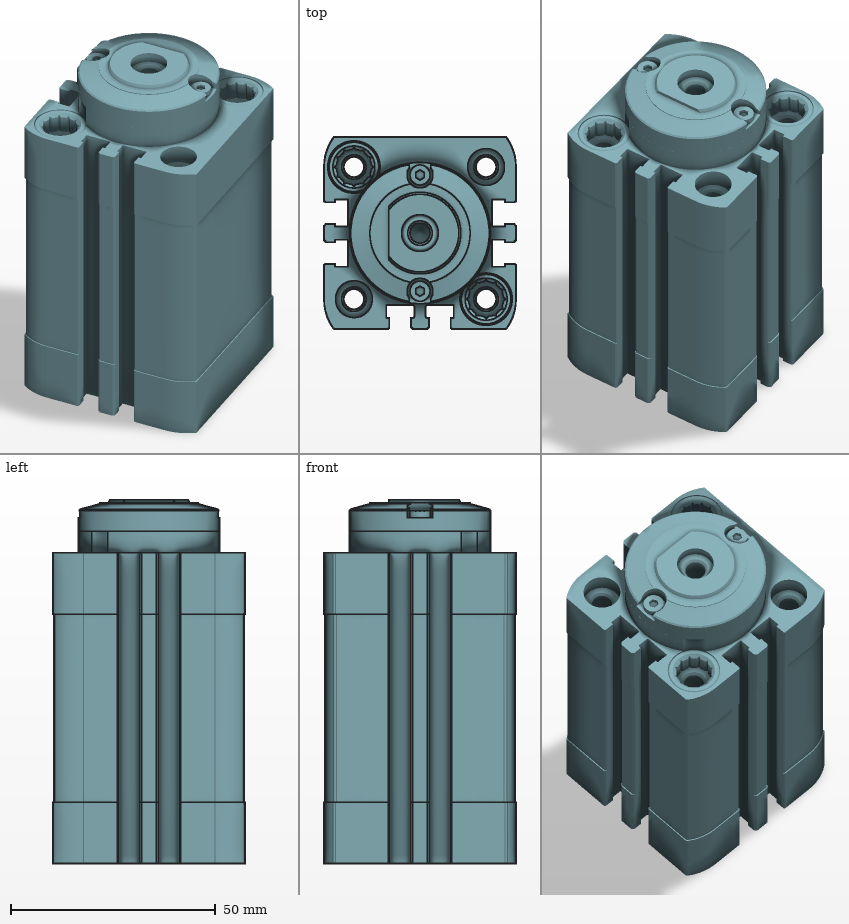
import cadquery as cq
import math

side = 47.0
half = side / 2
body_height = 76.0
end_height = 15.0
tube_inset = 0.25
corner_radius = 12.5
corner_arc_y = 16.1
corner_edge_fillet = 0.8

slot_floor = 17.6
lip_depth = 2.75
slot_outer = 8.2
lip_outer = 7.5
rib_flange = 2.25
side_rib_stem = 1.65
front_rib_stem = 1.4
lip_chamfer = 0.3
rib_chamfer = 0.5
pick_margin = 0.1
rib_root_fillet = 0.4

hole_pitch = 16.15
through_dia = 4.92
entry_dia = 6.0
counterbore_dia = 9.0
counterbore_depth = 4.5
hole_bevel = (entry_dia - through_dia) / 2
ring_dia = 12.8
ring_groove = 0.35
socket_entry_dia = 10.3
socket_inner_dia = 8.57
socket_tip_dia = 9.5
socket_depth = 5.0

cap_dia = 34.55
cap_base = 81.3
cap_rim = 86.65
cap_top = 88.15
cap_flat_dia = 24.5
cap_flat_step = 0.2
rim_bevel = 0.35
rod_dia = 20.0
rod_top = 89.0
rod_base = body_height - end_height
rod_flat = 7.6
rod_taper = 0.5
thread_depth = 15.0
rod_recess_depth = 2.5

screw_offset = 14.2
screw_seat = 84.6
pocket_width = 6.3
mouth_width = 5.2
head_dia = 4.92
head_height = 1.6
shank_dia = 3.0
shank_length = 8.0
key_dia = 2.46
key_depth = 1.0


def rod_shape(dia, bottom, top, x=0.0, y=0.0):
    """Upright cylinder between two heights."""
    return cq.Workplane("XY").workplane(offset=bottom).center(x, y).circle(dia / 2).extrude(top - bottom)


def cone_shape(lower_dia, upper_dia, bottom, top, x=0.0, y=0.0):
    """Upright cone frustum between two heights."""
    solid = cq.Solid.makeCone(lower_dia / 2, upper_dia / 2, top - bottom, pnt=cq.Vector(x, y, bottom))
    return cq.Workplane(obj=solid)


def outline(inset, bottom, top):
    """Housing block with its four large corner arcs, set back evenly by an inset."""
    reach = half - inset
    radius = corner_radius - inset
    arc_x = half - corner_radius
    rise = reach - corner_arc_y
    end_x = arc_x + math.sqrt(radius**2 - rise**2)
    mid_angle = math.asin(rise / radius) / 2
    mid_x = arc_x + radius * math.cos(mid_angle)
    mid_y = corner_arc_y + radius * math.sin(mid_angle)
    profile = (
        cq.Workplane("XY").workplane(offset=bottom)
        .moveTo(reach, -corner_arc_y).lineTo(reach, corner_arc_y)
        .threePointArc((mid_x, mid_y), (end_x, reach)).lineTo(-end_x, reach)
        .threePointArc((-mid_x, mid_y), (-reach, corner_arc_y)).lineTo(-reach, -corner_arc_y)
        .threePointArc((-mid_x, -mid_y), (-end_x, -reach)).lineTo(end_x, -reach)
        .threePointArc((mid_x, -mid_y), (reach, -corner_arc_y)).close()
    )
    block = profile.extrude(top - bottom)
    tips = cq.selectors.BoxSelector((-end_x - pick_margin, -half, bottom), (end_x + pick_margin, half, top))
    return block.edges("|Z").edges(tips).fillet(corner_edge_fillet)


def slot_pair(stem, root_fillet, mouth):
    """Both slots beside a rib, opening toward -Y; the mouth is the distance of the open face."""
    lip = half - lip_depth
    slots = cq.Workplane("XY")
    for sign in (-1, 1):
        points = [
            (rib_flange - rib_chamfer, mouth), (rib_flange, mouth - rib_chamfer), (rib_flange, lip),
            (stem, lip), (stem, slot_floor), (slot_outer, slot_floor), (slot_outer, lip),
            (lip_outer, lip), (lip_outer, mouth - lip_chamfer), (lip_outer + lip_chamfer, mouth),
        ]
        slot = cq.Workplane("XY").polyline([(sign * x, -y) for x, y in points]).close().extrude(body_height)
        if root_fillet:
            stem_x = sign * stem
            near_corner = (stem_x - pick_margin, -lip - pick_margin, 0)
            far_corner = (stem_x + pick_margin, 0, body_height)
            roots = cq.selectors.BoxSelector(near_corner, far_corner)
            slot = slot.edges("|Z").edges(roots).fillet(root_fillet)
        slots = slots.add(slot)
    return slots.combine()


def housing_zone(inset, bottom, top):
    """One height zone of the housing, with slots on the -Y, -X and +X sides."""
    zone = outline(inset, bottom, top)
    zone = zone.cut(slot_pair(front_rib_stem, rib_root_fillet, half - inset))
    side_slots = slot_pair(side_rib_stem, 0, half - inset)
    for angle in (-90, 90):
        zone = zone.cut(side_slots.rotate((0, 0, 0), (0, 0, 1), angle))
    return zone


def mounting_hole(x, y, floor):
    """Through hole with a bevelled mouth at the floor of its recess."""
    hole = rod_shape(through_dia, 0, floor, x, y)
    return hole.union(cone_shape(through_dia, entry_dia, floor - hole_bevel, floor, x, y))


def plain_hole(x, y):
    floor = body_height - counterbore_depth
    return mounting_hole(x, y, floor).union(rod_shape(counterbore_dia, floor, body_height, x, y))


def socket_hole(x, y):
    """Through hole under a twelve-groove socket with a conical mouth."""
    floor = body_height - socket_depth
    star = cq.Workplane("XY").circle(socket_inner_dia / 2).extrude(socket_depth)
    square = cq.Workplane("XY").polygon(4, socket_tip_dia).extrude(socket_depth)
    for angle in (0, 30, 60):
        star = star.union(square.rotate((0, 0, 0), (0, 0, 1), angle))
    star = star.translate((x, y, floor))
    mouth_depth = (socket_entry_dia - socket_inner_dia) / 2
    mouth = cone_shape(socket_inner_dia, socket_entry_dia, body_height - mouth_depth, body_height, x, y)
    return mounting_hole(x, y, floor).union(star).union(mouth)


def ring_edge(x, y):
    """Shallow bevelled groove along the rim of the round socket boss."""
    bottom = body_height - ring_groove
    ring = rod_shape(ring_dia, bottom, body_height, x, y)
    return ring.cut(cone_shape(ring_dia, ring_dia - 2 * ring_groove, bottom, body_height, x, y))


def flat_sided(bar):
    """Cut the flat on the -X side of a bar on the main axis."""
    cutter = cq.Workplane("XY").box(rod_dia, rod_dia, rod_top, centered=(True, True, False))
    return bar.cut(cutter.translate((-rod_flat - rod_dia / 2, 0, 0)))


tube_top = body_height - end_height
housing = housing_zone(0, 0, end_height)
housing = housing.union(housing_zone(tube_inset, end_height, tube_top))
housing = housing.union(housing_zone(0, tube_top, body_height))
housing = housing.union(rod_shape(cap_dia, body_height, cap_base))
for x, y in ((-hole_pitch, hole_pitch), (hole_pitch, -hole_pitch)):
    housing = housing.cut(rod_shape(ring_dia, body_height, cap_base, x, y))
    housing = housing.cut(ring_edge(x, y)).cut(socket_hole(x, y))
for x, y in ((-hole_pitch, -hole_pitch), (hole_pitch, hole_pitch)):
    housing = housing.cut(plain_hole(x, y))
rod_body = flat_sided(rod_shape(rod_dia, rod_base, cap_top))
housing = housing.cut(rod_body)


cap_radius = cap_dia / 2
cap = (
    cq.Workplane("XZ")
    .moveTo(0, cap_base).lineTo(cap_radius, cap_base).lineTo(cap_radius, cap_rim - rim_bevel)
    .lineTo(cap_radius - rim_bevel, cap_rim).lineTo(cap_flat_dia / 2, cap_top - cap_flat_step)
    .lineTo(cap_flat_dia / 2, cap_top).lineTo(0, cap_top)
    .close().revolve(360, (0, 0, 0), (0, 1, 0))
)
cap = cap.cut(rod_body)
for sign in (-1, 1):
    y = sign * screw_offset
    pocket = rod_shape(pocket_width, screw_seat, cap_top, 0, y)
    run_out = cap_radius - screw_offset
    cap = cap.cut(pocket)
    for width, top in ((pocket_width, screw_seat + head_height), (mouth_width, cap_top)):
        opening = cq.Workplane("XY").box(width, run_out, top - screw_seat, centered=(True, True, False))
        cap = cap.cut(opening.translate((0, y + sign * run_out / 2, screw_seat)))


rod = rod_body.union(flat_sided(cone_shape(rod_dia, rod_dia - 2 * rod_taper, cap_top, rod_top)))
recess_floor = rod_top - rod_recess_depth
thread_bottom = recess_floor - thread_depth
drill_tip = through_dia / 2
rod = rod.cut(rod_shape(counterbore_dia, recess_floor, rod_top))
rod = rod.cut(rod_shape(through_dia, thread_bottom, recess_floor))
rod = rod.cut(cone_shape(through_dia, entry_dia, recess_floor - hole_bevel, recess_floor))
rod = rod.cut(cone_shape(0, through_dia, thread_bottom - drill_tip, thread_bottom))


def cap_screw(y):
    """Socket-head screw standing on the floor of a cap pocket."""
    head_top = screw_seat + head_height
    screw = rod_shape(head_dia, screw_seat, head_top, 0, y)
    screw = screw.union(rod_shape(shank_dia, screw_seat - shank_length, screw_seat, 0, y))
    key = cq.Workplane("XY").polygon(6, key_dia).extrude(key_depth).rotate((0, 0, 0), (0, 0, 1), 90)
    return screw.cut(key.translate((0, y, head_top - key_depth)))


screws = []
for sign in (-1, 1):
    y = sign * screw_offset
    shank_hole = rod_shape(shank_dia, screw_seat - shank_length, screw_seat, 0, y)
    cap = cap.cut(shank_hole)
    housing = housing.cut(shank_hole)
    screws.append(cap_screw(y).val())

result = cq.Compound.makeCompound([housing.val(), cap.val(), rod.val(), *screws])